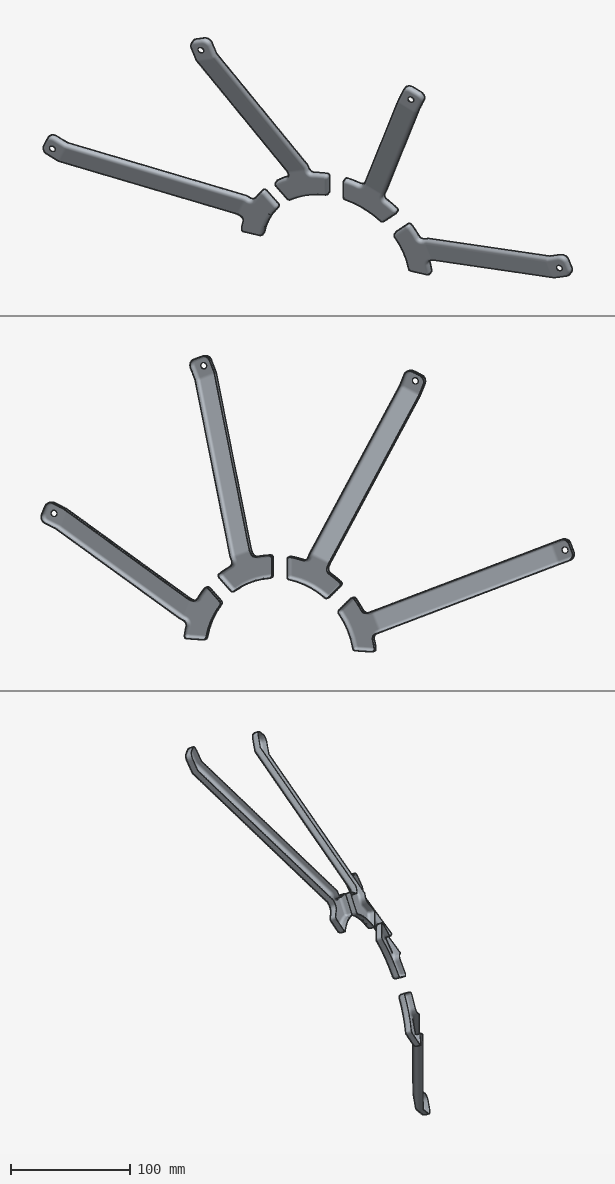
import cadquery as cq
import math

low_arm_angle = 22.5
high_arm_angle = 67.5
sector_half_angle = 22.5

foot_inner_radius = 67.5
foot_outer_radius = 87.0
end_setback = 6.5
low_end_setback = 10.0
neck_fillet = 4.5

thickness = 6.2
arm_width = 19.0
foot_bend_radius = 92.5
tip_bend_radius = 240.5
arm_offset = 62.5
tip_radius = 258.0
tip_corner_radius = 6.0
bend_rounding = 6.0
hole_radius_position = 250.0
hole_diameter = 5.5

wall = 0.5
corner_rounding = 2.5
front_rounding = 3.0
floor_rounding = 2.5

height = arm_offset + thickness
bend_angle = math.atan2(arm_offset, tip_bend_radius - foot_bend_radius)


def half_plane(angle, setback):
    """Block on the inner side of a foot end: everything set back from the ray at the given angle."""
    size = 4 * foot_outer_radius
    block = cq.Workplane("XY").box(size, size, height, centered=(True, False, False))
    return block.translate((0, setback, 0)).rotate((0, 0, 0), (0, 0, 1), angle)


def plan_outline(start_setback, inset):
    """Foot and arm seen square to the foot, shrunk inwards by the inset."""
    outer = foot_outer_radius - inset
    foot = cq.Workplane("XY").circle(outer).circle(foot_inner_radius + inset).extrude(height)
    foot = foot.intersect(half_plane(-sector_half_angle, start_setback + inset))
    foot = foot.intersect(half_plane(sector_half_angle + 180, end_setback + inset))
    foot = foot.edges("|Z").fillet(corner_rounding - inset / 2)

    arm_start = (foot_inner_radius + foot_outer_radius) / 2
    arm_length = tip_radius - inset - arm_start
    arm = (
        cq.Workplane("XY")
        .box(arm_length, arm_width - 2 * inset, height, centered=(False, True, False))
        .edges("|Z and >X")
        .fillet(tip_corner_radius - inset)
        .translate((arm_start, 0, 0))
    )
    neck_x = math.sqrt(outer**2 - (arm_width / 2 - inset) ** 2)
    margin = 0.5
    neck = cq.selectors.BoxSelector(
        (neck_x - margin, -arm_width, 0), (neck_x + margin, arm_width, height)
    )
    return foot.union(arm).edges("|Z").edges(neck).fillet(neck_fillet + inset)


def bent_strip(inset):
    """Slab following the two bends, its front lowered by the inset."""
    def bend_points(level):
        shift = -(level - thickness) * math.tan(bend_angle / 2)
        return (foot_bend_radius + shift, level), (tip_bend_radius + shift, level + arm_offset)

    far = tip_radius + 5
    foot_front, tip_front = bend_points(thickness - inset)
    foot_back, tip_back = bend_points(0)
    strip = (
        cq.Workplane("XZ")
        .polyline([
            (0, 0), foot_back, tip_back, (far, tip_back[1]),
            (far, tip_front[1]), tip_front, foot_front, (0, foot_front[1]),
        ])
        .close()
        .extrude(foot_outer_radius, both=True)
    )
    for x, z in (foot_front, tip_front):
        strip = strip.edges(cq.selectors.NearestToPointSelector((x, 0, z))).fillet(bend_rounding)
    return strip


def front_rim(body):
    """Edges between the front surface and the upright sides."""
    front = [f for f in body.Faces() if f.normalAt().z > 0.1]
    edges = [e for f in front for e in f.Edges()]
    return [e for e in edges if sum(e.isSame(other) for other in edges) == 1]


def form(start_setback, inset, rounding):
    """Bent solid with a rounded front rim, shrunk by the inset on its sides and front."""
    body = plan_outline(start_setback, inset).intersect(bent_strip(inset)).val().Solids()[0]
    return cq.Workplane(body.fillet(rounding, front_rim(body)))


def make_bracket(start_setback):
    skin = form(start_setback, 0, front_rounding)
    cavity = form(start_setback, wall, floor_rounding)
    hole = cq.Workplane("XY").center(hole_radius_position, 0).circle(hole_diameter / 2).extrude(height)
    bracket = skin.cut(cavity).cut(hole)
    return bracket.rotate((0, 0, 0), (1, 0, 0), 90)


low_right = make_bracket(low_end_setback).rotate((0, 0, 0), (0, 1, 0), -low_arm_angle)
high_right = make_bracket(end_setback).rotate((0, 0, 0), (0, 1, 0), -high_arm_angle)
brackets = []
for bracket in (low_right, high_right):
    brackets.append(bracket.val().Solids()[0])
    brackets.append(bracket.mirror("YZ").val().Solids()[0])
result = cq.Compound.makeCompound(brackets)